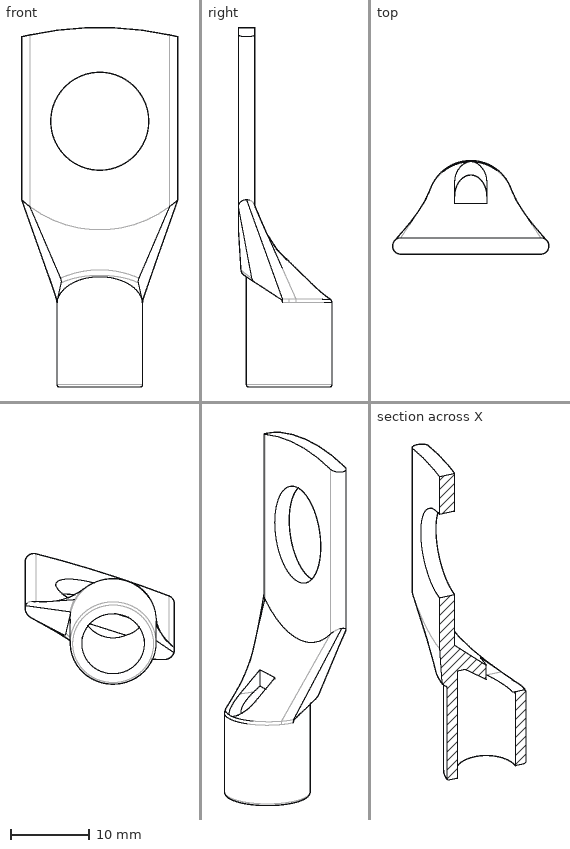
import cadquery as cq
import math


TOTAL_HEIGHT = 46.0
PALM_WIDTH = 20.0
PALM_THICKNESS = 2.1
PALM_OFFSET = 1.0
PALM_END_RISE = 1.2
PALM_FOOT_CENTRE_Z = 20.1
PALM_FOOT_SIDE_Z = 23.95
STUD_HOLE_DIAMETER = 12.5
STUD_HOLE_Z = 34.0

BARREL_DIAMETER = 11.0
BORE_DIAMETER = 8.0
BARREL_HEIGHT = 11.05
MOUTH_FILLET = 0.3
SHOULDER_CHAMFER = 0.25

SEAT_START_Y = -0.8
SEAT_SLOPE = 0.65
SEAT_CORNER_X = 4.88
SEAT_CORNER_Y = -4.75
SEAT_FRONT_Y = -6.15
LIP_FILLET = 0.9
FLANK_START_Y = 0.95

SLOT_WIDTH = 4.1
SLOT_BOTTOM_Z = 11.2
SLOT_TOP_Z = 16.1
ROOF_SLOPE = 0.75
ROOF_WALL = 1.7

barrel_radius = BARREL_DIAMETER / 2
bore_radius = BORE_DIAMETER / 2
half_width = PALM_WIDTH / 2
edge_radius = PALM_THICKNESS / 2
palm_front_y = -barrel_radius - PALM_OFFSET
palm_back_y = palm_front_y + PALM_THICKNESS
palm_middle_y = palm_front_y + edge_radius
palm_side_top_z = TOTAL_HEIGHT - PALM_END_RISE


def seat_z(y):
    """Height of the sloping seat at a given Y."""
    return BARREL_HEIGHT + SEAT_SLOPE * (SEAT_START_Y - y)


def palm_body():
    """Flat blade with full-round long edges, a crowned top and an arched foot."""
    flat = half_width - edge_radius
    section = (
        cq.Workplane("XY")
        .moveTo(-flat, palm_front_y)
        .lineTo(flat, palm_front_y)
        .radiusArc((half_width, palm_middle_y), -edge_radius)
        .radiusArc((flat, palm_back_y), -edge_radius)
        .lineTo(-flat, palm_back_y)
        .radiusArc((-half_width, palm_middle_y), -edge_radius)
        .radiusArc((-flat, palm_front_y), -edge_radius)
        .close()
        .extrude(TOTAL_HEIGHT)
    )
    outline = (
        cq.Workplane("XZ")
        .moveTo(-half_width, PALM_FOOT_SIDE_Z)
        .threePointArc((0, PALM_FOOT_CENTRE_Z), (half_width, PALM_FOOT_SIDE_Z))
        .lineTo(half_width, palm_side_top_z)
        .threePointArc((0, TOTAL_HEIGHT), (-half_width, palm_side_top_z))
        .close()
        .extrude(BARREL_DIAMETER)
    )
    return section.intersect(outline, clean=False)


def circle_point(y, side):
    """Point on the rim of the barrel at a given Y, on the side -1 or 1."""
    return cq.Vector(side * math.sqrt(barrel_radius**2 - y**2), y, BARREL_HEIGHT)


def neck_body(palm):
    """Solid whose walls are straight lines from the seat outline to the palm's foot outline."""
    foot = palm.faces("<Z").val()

    def foot_edge(x, y):
        """Foot edge nearest to a plan position."""
        return min(foot.Edges(), key=lambda e: math.hypot(e.Center().x - x, e.Center().y - y))

    seat_crown = cq.Vector(0, SEAT_FRONT_Y, seat_z(SEAT_FRONT_Y))
    back_crown = cq.Vector(0, barrel_radius, BARREL_HEIGHT)
    middle_y = (FLANK_START_Y + SEAT_START_Y) / 2

    corners = {s: cq.Vector(s * SEAT_CORNER_X, SEAT_CORNER_Y, seat_z(SEAT_CORNER_Y)) for s in (-1, 1)}
    starts = {s: circle_point(SEAT_START_Y, s) for s in (-1, 1)}
    flanks = {s: circle_point(FLANK_START_Y, s) for s in (-1, 1)}

    hinge = cq.Edge.makeLine(starts[-1], starts[1])
    back = cq.Edge.makeThreePointArc(flanks[-1], back_crown, flanks[1])
    right_flank = cq.Edge.makeThreePointArc(flanks[1], circle_point(middle_y, 1), starts[1])
    right_lip = cq.Edge.makeLine(starts[1], corners[1])
    front = cq.Edge.makeThreePointArc(corners[1], seat_crown, corners[-1])
    left_lip = cq.Edge.makeLine(corners[-1], starts[-1])
    left_flank = cq.Edge.makeThreePointArc(starts[-1], circle_point(middle_y, -1), flanks[-1])

    walls = [
        cq.Face.makeRuledSurface(back, foot_edge(0, palm_back_y)),
        cq.Face.makeRuledSurface(right_flank, foot_edge(half_width, palm_back_y)),
        cq.Face.makeRuledSurface(right_lip, foot_edge(half_width, palm_front_y)),
        cq.Face.makeRuledSurface(front, foot_edge(0, palm_front_y)),
        cq.Face.makeRuledSurface(left_lip, foot_edge(-half_width, palm_front_y)),
        cq.Face.makeRuledSurface(left_flank, foot_edge(-half_width, palm_back_y)),
    ]
    seats = [
        cq.Face.makeFromWires(cq.Wire.assembleEdges([back, right_flank, hinge, left_flank])),
        cq.Face.makeFromWires(cq.Wire.assembleEdges([front, left_lip, hinge, right_lip])),
    ]
    neck = cq.Workplane(cq.Solid.makeSolid(cq.Shell.makeShell(walls + seats + [foot])))
    lip_edges = neck.faces(cq.selectors.NearestToPointSelector(seats[1].Center().toTuple())).edges()
    return lip_edges.edges("<Y").fillet(LIP_FILLET)


def barrel_body():
    """Round barrel whose front rises to the sloping seat."""
    r = barrel_radius
    side_profile = (
        cq.Workplane("YZ")
        .polyline([(r, 0), (r, BARREL_HEIGHT), (SEAT_START_Y, BARREL_HEIGHT), (-r, seat_z(-r)), (-r, 0)])
        .close()
        .extrude(r, both=True)
    )
    cylinder = cq.Workplane("XY").circle(r).extrude(seat_z(-r))
    return cylinder.intersect(side_profile).faces("<Z").edges().fillet(MOUTH_FILLET)


def bore_cut():
    """Bore ending in a roof that slopes with the back of the neck, never above the slot."""
    r = bore_radius

    def roof_z(y):
        return BARREL_HEIGHT + ROOF_SLOPE * (barrel_radius - ROOF_WALL - y)

    level_y = barrel_radius - ROOF_WALL - (SLOT_TOP_Z - BARREL_HEIGHT) / ROOF_SLOPE
    limit = (
        cq.Workplane("YZ")
        .polyline([(-r, 0), (r, 0), (r, roof_z(r)), (level_y, SLOT_TOP_Z), (-r, SLOT_TOP_Z)])
        .close()
        .extrude(r, both=True)
    )
    return cq.Workplane("XY").circle(r).extrude(SLOT_TOP_Z).intersect(limit)


def slot_cut():
    """Round-bottomed slot from the back of the neck to the barrel axis."""
    r = SLOT_WIDTH / 2
    return (
        cq.Workplane("XZ")
        .moveTo(-r, SLOT_TOP_Z)
        .lineTo(-r, SLOT_BOTTOM_Z + r)
        .threePointArc((0, SLOT_BOTTOM_Z), (r, SLOT_BOTTOM_Z + r))
        .lineTo(r, SLOT_TOP_Z)
        .close()
        .extrude(-BARREL_DIAMETER)
    )


palm = palm_body()
neck = neck_body(palm)
stud_hole = (
    cq.Workplane("XZ")
    .center(0, STUD_HOLE_Z)
    .circle(STUD_HOLE_DIAMETER / 2)
    .extrude(BARREL_DIAMETER)
)
shoulder = cq.selectors.NearestToPointSelector((0, barrel_radius, BARREL_HEIGHT))
lug = neck.union(palm).union(barrel_body()).edges(shoulder).chamfer(SHOULDER_CHAMFER)
result = (
    lug
    .cut(stud_hole)
    .cut(bore_cut())
    .cut(slot_cut())
)